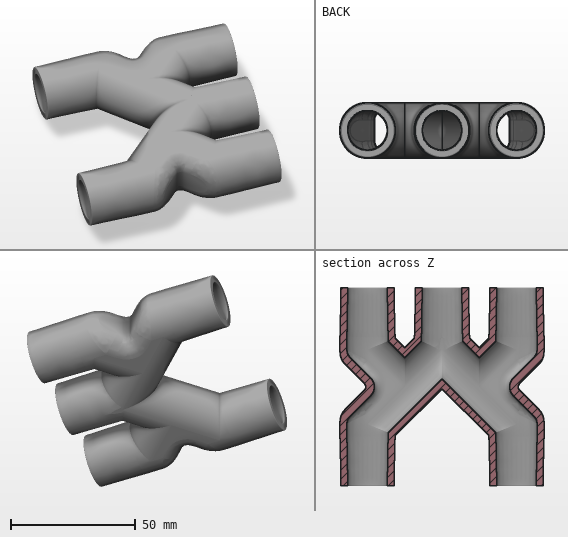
import cadquery as cq
import math

pipe_spacing = 30.0
half_length = 40.0
socket_length = 20.0
bend_y = pipe_spacing / 2

body_radius = 11.2
socket_end_radius = 10.9
wall = 3.0
rim_round = 0.25

edge_round = 7.0
valley_round = 2.0
notch_tip_x = pipe_spacing
notch_wall = 3.5

contact_tolerance = 0.001

socket_base_y = half_length - socket_length


def branch(start, end, radius):
    """Round bar between two points of the XY plane."""
    dx = end[0] - start[0]
    dy = end[1] - start[1]
    plane = cq.Plane(origin=(start[0], start[1], 0), xDir=(0, 0, 1), normal=(dx, dy, 0))
    return cq.Workplane(plane).circle(radius).extrude(math.hypot(dx, dy))


def socket(x, side, inset):
    """Tapered pipe end, from the base of the taper to the mouth."""
    cone = cq.Solid.makeCone(
        body_radius - inset,
        socket_end_radius - inset,
        socket_length,
        pnt=cq.Vector(x, side * socket_base_y, 0),
        dir=cq.Vector(0, side, 0),
    )
    return cq.Workplane(obj=cone)


def middle_socket(inset):
    """Middle pipe: its taper runs on down to the bend, trimmed flush with the body top and bottom."""
    radius = body_radius - inset
    taper = (body_radius - socket_end_radius) / socket_length
    length = half_length - bend_y
    end_radius = socket_end_radius - inset
    cone = cq.Solid.makeCone(
        end_radius + taper * length,
        end_radius,
        length,
        pnt=cq.Vector(0, bend_y, 0),
        dir=cq.Vector(0, 1, 0),
    )
    flush_block = cq.Workplane("XY").box(pipe_spacing, 2 * half_length, 2 * radius)
    return cq.Workplane(obj=cone).intersect(flush_block)


def web_region():
    """Tall prism over the web between the branch axes and the outer half of the left pipe."""
    outside_x = -2 * pipe_spacing
    return (
        cq.Workplane("XY")
        .moveTo(-pipe_spacing / 2, 0)
        .lineTo(-pipe_spacing, bend_y)
        .lineTo(-pipe_spacing, socket_base_y)
        .lineTo(outside_x, socket_base_y)
        .lineTo(outside_x, -socket_base_y)
        .lineTo(-pipe_spacing, -socket_base_y)
        .lineTo(-pipe_spacing, -bend_y)
        .close()
        .extrude(pipe_spacing, both=True)
    )


def touches(edge, solid):
    """True when the middle of the edge lies on the solid."""
    middle = cq.Vertex.makeVertex(*edge.positionAt(0.5).toTuple())
    return solid.val().distance(middle) < contact_tolerance


def notched_side(inset, notch_inset):
    """Left pipe and flat web, with a rounded V notch cut in from the outside."""
    radius = body_radius - inset
    pipe = branch((-pipe_spacing, -socket_base_y), (-pipe_spacing, socket_base_y), radius)
    web = (
        cq.Workplane("XY")
        .box(pipe_spacing / 2, 2 * socket_base_y, 2 * radius)
        .translate((-pipe_spacing * 3 / 4, 0, 0))
    )
    tip_x = -notch_tip_x + notch_inset * math.sqrt(2)
    reach = 2 * pipe_spacing
    notch = (
        cq.Workplane("XY")
        .moveTo(tip_x, 0)
        .lineTo(tip_x - reach, reach)
        .lineTo(tip_x - reach, -reach)
        .close()
        .extrude(pipe_spacing, both=True)
        .edges("|Z and >X")
        .fillet(valley_round + inset)
    )
    side = pipe.union(web).cut(notch)
    rim = [edge for edge in side.edges("not |Z").vals() if touches(edge, notch)]
    return side.newObject(rim).fillet(edge_round - inset).intersect(web_region())


def manifold(inset, notch_inset):
    """Complete solid shape of the part, shrunk inward by the given insets."""
    radius = body_radius - inset
    center = (0, bend_y)
    front_bend = (-pipe_spacing, -bend_y)
    back_bend = (-pipe_spacing, bend_y)
    fork = (-pipe_spacing / 2, 0)
    left = branch(front_bend, center, radius)
    left = left.union(branch(back_bend, fork, radius))
    left = left.cut(web_region()).union(notched_side(inset, notch_inset))
    for side in (-1, 1):
        bend = (-pipe_spacing, side * bend_y)
        left = left.union(branch(bend, (-pipe_spacing, side * socket_base_y), radius))
        left = left.union(socket(-pipe_spacing, side, inset))
    return left.union(left.mirror("YZ")).union(middle_socket(inset))


shell = manifold(0, 0).cut(manifold(wall, notch_wall))
result = shell.faces("<Y or >Y").edges().fillet(rim_round)